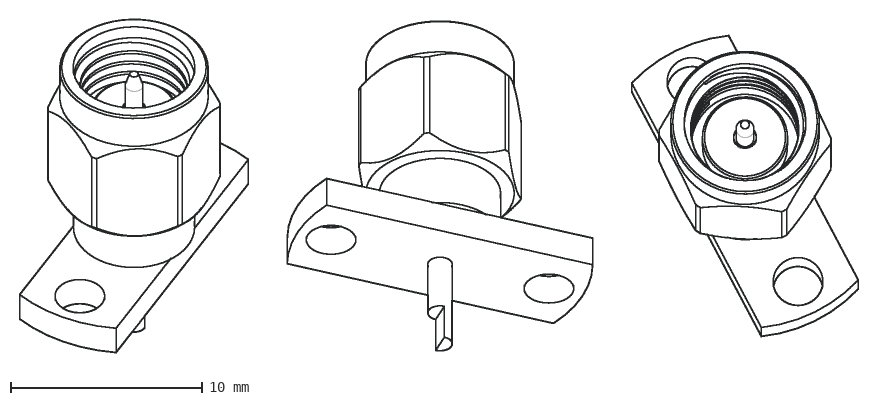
import cadquery as cq
import math

total_height = 18.0
nut_top = 15.95
nut_bottom = 9.63
flange_top = 6.8
flange_bottom = 5.1

flange_width = 5.69
flange_length = 15.97
mounting_hole_diameter = 2.6
mounting_hole_offset = 6.1

body_diameter = 6.34
nut_across_flats = 7.94
nut_across_corners = 9.0
nut_face_diameter = 7.75
nut_bevel_height = 0.72
collar_chamfer = 0.1

socket_diameter = 6.35
socket_depth = 4.5
lead_in_start = 0.75
lead_in_end = 1.19
thread_minor_diameter = 5.62
thread_pitch = 0.72
thread_crest_width = 0.2
thread_top_depth = 0.75
thread_turns = 4
thread_end_angle = -75.0
thread_overlap = 0.09
thread_flank_angle = 30.0

insulator_diameter = 4.45
insulator_chamfer = 0.1
insulator_depth = 2.85
contact_diameter = 0.94
contact_tip_diameter = 0.45
contact_tip_depth = 0.47
contact_taper_end = 1.25
contact_gap_diameter = 1.19
contact_gap_depth = 0.18
solder_pin_diameter = 1.28
solder_step_height = 1.98


def cylinder(diameter, bottom, top):
    """Solid cylinder on the Z axis."""
    return cq.Workplane("XY").workplane(offset=bottom).circle(diameter / 2).extrude(top - bottom)


def revolved(profile):
    """Revolve a closed (radius, height) outline about the Z axis."""
    return cq.Workplane("XZ").polyline(profile).close().revolve(360, (0, 0, 0), (0, 1, 0))


def make_flange():
    thickness = flange_top - flange_bottom
    disc = cylinder(flange_length, flange_bottom, flange_top)
    strip = (
        cq.Workplane("XY")
        .workplane(offset=flange_bottom)
        .rect(flange_width, flange_length)
        .extrude(thickness)
    )
    holes = (
        cq.Workplane("XY")
        .workplane(offset=flange_bottom)
        .pushPoints([(0, mounting_hole_offset), (0, -mounting_hole_offset)])
        .circle(mounting_hole_diameter / 2)
        .extrude(thickness)
    )
    return disc.intersect(strip).cut(holes)


def make_nut():
    """Hexagon with flats facing +X and -X, beveled at both ends and topped by a round collar."""
    hexagon = (
        cq.Workplane("XY")
        .workplane(offset=nut_bottom)
        .polygon(6, nut_across_flats / math.cos(math.pi / 6))
        .extrude(nut_top - nut_bottom)
        .rotate((0, 0, 0), (0, 0, 1), 30)
    )
    face_radius = nut_face_diameter / 2
    corner_radius = nut_across_corners / 2
    bevel_envelope = revolved([
        (0, nut_bottom),
        (face_radius, nut_bottom),
        (corner_radius, nut_bottom + nut_bevel_height),
        (corner_radius, nut_top - nut_bevel_height),
        (face_radius, nut_top),
        (0, nut_top),
    ])
    collar = cylinder(nut_face_diameter, nut_top, total_height).faces(">Z").chamfer(collar_chamfer)
    return hexagon.intersect(bevel_envelope).union(collar)


def make_socket():
    """Cutting solid for the bore and its tapered lead-in."""
    bore_radius = socket_diameter / 2
    minor_radius = thread_minor_diameter / 2
    floor = total_height - socket_depth
    return revolved([
        (0, floor),
        (minor_radius, floor),
        (minor_radius, total_height - lead_in_end),
        (bore_radius, total_height - lead_in_start),
        (bore_radius, total_height),
        (0, total_height),
    ])


def make_thread_groove():
    """Right-handed helical V groove that runs out at the top of the tapered lead-in."""
    bottom = total_height - thread_top_depth - thread_turns * thread_pitch
    minor_radius = thread_minor_diameter / 2
    half_opening = (thread_pitch - thread_crest_width) / 2
    flank_slope = math.tan(math.radians(thread_flank_angle))
    root_radius = minor_radius + half_opening / flank_slope
    inner_radius = minor_radius - thread_overlap
    inner_half_width = half_opening + thread_overlap * flank_slope
    helix = cq.Wire.makeHelix(
        thread_pitch, thread_turns * thread_pitch, minor_radius, center=cq.Vector(0, 0, bottom)
    )
    profile = cq.Workplane("XZ").polyline([
        (inner_radius, bottom - inner_half_width),
        (root_radius, bottom),
        (inner_radius, bottom + inner_half_width),
    ]).close()
    groove = profile.sweep(cq.Workplane(helix), isFrenet=True)
    below_bore = cylinder(nut_face_diameter, nut_bottom, total_height - lead_in_start)
    return groove.rotate((0, 0, 0), (0, 0, 1), thread_end_angle).intersect(below_bore)


def make_insulator():
    """Chamfered post on the socket floor, with a shallow ring gap around the contact."""
    top = total_height - insulator_depth
    post = cylinder(insulator_diameter, total_height - socket_depth, top)
    gap = cylinder(contact_gap_diameter, top - contact_gap_depth, top)
    return post.faces(">Z").chamfer(insulator_chamfer).cut(gap)


def make_contact():
    bottom = total_height - socket_depth
    contact_radius = contact_diameter / 2
    tip_radius = contact_tip_diameter / 2
    return revolved([
        (0, bottom),
        (contact_radius, bottom),
        (contact_radius, total_height - contact_taper_end),
        (tip_radius, total_height - contact_tip_depth),
        (0, total_height - contact_tip_depth),
    ])


def make_solder_pin():
    """Round pin whose +Y half is cut away at the free end."""
    pin = cylinder(solder_pin_diameter, 0, flange_bottom)
    step = cq.Workplane("XY").box(
        solder_pin_diameter, solder_pin_diameter, solder_step_height, centered=(True, False, False)
    )
    return pin.cut(step)


body = cylinder(body_diameter, flange_top, nut_bottom)
result = (
    make_flange()
    .union(body)
    .union(make_nut().cut(make_socket()).cut(make_thread_groove()))
    .union(make_insulator())
    .union(make_contact())
    .union(make_solder_pin())
)